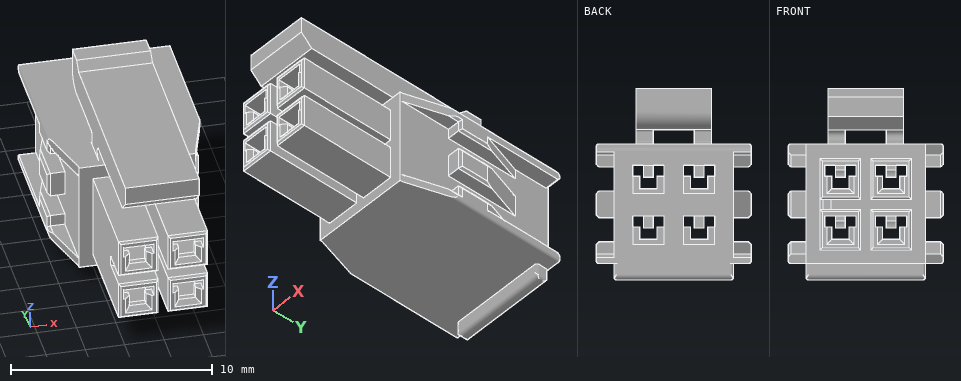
import cadquery as cq


length = 15.7
overall_width = 7.7
body_size = 5.93
body_front = 5.84
feature_middle = 2.94
rear_round = 0.4
edge_break = 0.14

half_width = overall_width / 2
body_side = body_size / 2
rail_depth = half_width - body_side
upper_rail_bottom = 5.39
lower_rail_top = 0.47
rear_chamfer = 0.15
taper_start = 8.84
taper_end = 5.98
lock_front = 9.06
ramp_crest = 10.86
ramp_foot = 13.5
lock_height = 1.33
lock_gap = 1.18
mid_lock_bottom = feature_middle - lock_height / 2
mid_lock_top = feature_middle + lock_height / 2
lower_lock_top = mid_lock_bottom - lock_gap
upper_lock_bottom = mid_lock_top + lock_gap

pitch = 2.51
tower_size = 2.01
tip_chamfer = 0.11
cavity_half_width = 0.77
cavity_roof = 0.68
cavity_floor = -0.72
mouth_top = 0.14
mouth_half_width = 0.68
throat_half_width = 0.42
throat_floor = -0.47
throat_start = 0.25
throat_end = 0.55

lance_width = 0.5
lance_front = 7.06
lance_length = 1.88
lance_underside = 0.44
lance_tip = 0.08
lance_setback = 0.13
lance_radius = 0.57

web_front = 1.71
web_width = 0.53

lever_width = 3.75
lever_front = 0.25
lever_rear = 12.21
lever_top = 2.32
lever_bottom = 0.68
lever_tail_bottom = 0.7
nose_slope_end = 0.94
nose_slope_top = 1.35
hook_height = 2.75
hook_front = 11.23
hook_slope_foot = 10.77
tail_radius = 0.97
neck_front = 6.61
neck_rear = 7.79
neck_radius = lever_bottom / 2
neck_corner = 0.15
neck_window = 2.01

tab_drop = 0.82
tab_thickness = 0.77
tab_round = 0.3
tab_side_round = 0.15


def block(x0, x1, y0, y1, z0, z1):
    """Box between two opposite corners."""
    return cq.Workplane("XY").box(x1 - x0, y1 - y0, z1 - z0, centered=False).translate((x0, y0, z0))


def chamfer_outer_edges(solid, z_low, z_high):
    """Chamfer the outer-face edges centred between two heights, except those at the front and rear ends."""
    margin = 0.02
    near_corner = (half_width - margin, body_front + margin, z_low - margin)
    far_corner = (half_width + margin, length - margin, z_high + margin)
    return solid.edges(cq.selectors.BoxSelector(near_corner, far_corner)).chamfer(edge_break)


def lock_bar(z_low, z_high):
    """Lock before its ramp is cut, running on to the wire end."""
    return block(body_side, half_width, lock_front, length, z_low, z_high)


def side_features():
    """Rails and locks of the +X side."""
    upper = block(body_side, half_width, body_front, length, upper_rail_bottom, body_size)
    upper = upper.union(lock_bar(upper_lock_bottom, body_size)).clean()
    upper = chamfer_outer_edges(upper, upper_lock_bottom, upper_rail_bottom)
    upper = upper.edges(">Z and >X").fillet(edge_break)

    lower = block(body_side, half_width, body_front, length, 0, lower_rail_top)
    lower = lower.union(lock_bar(0, lower_lock_top)).clean()
    lower = chamfer_outer_edges(lower, lower_rail_top, lower_lock_top)
    lower = lower.edges("<Z and >X").fillet(edge_break)

    middle = chamfer_outer_edges(lock_bar(mid_lock_bottom, mid_lock_top), mid_lock_bottom, mid_lock_top)
    side = upper.union(lower).union(middle)

    ramp_waste = (
        cq.Workplane("XY", origin=(0, 0, lower_rail_top))
        .polyline([
            (body_side, ramp_foot),
            (half_width, ramp_crest),
            (half_width, length),
            (body_side, length),
        ])
        .close()
        .extrude(upper_rail_bottom - lower_rail_top)
    )
    taper_waste = (
        cq.Workplane("XY")
        .polyline([
            (half_width, taper_start),
            (body_side, taper_end),
            (body_side, body_front),
            (half_width, body_front),
        ])
        .close()
        .extrude(body_size)
    )
    rear_waste = (
        cq.Workplane("YZ", origin=(body_side, 0, 0))
        .polyline([
            (length, lower_rail_top - rear_chamfer),
            (length - rear_chamfer, lower_rail_top),
            (length - rear_chamfer, upper_rail_bottom),
            (length, upper_rail_bottom + rear_chamfer),
        ])
        .close()
        .extrude(rail_depth)
    )
    return side.cut(ramp_waste).cut(taper_waste).cut(rear_waste)


def housing():
    """Square body with its two sides and the rounded top rear edge."""
    side = side_features()
    body = block(-body_side, body_side, body_front, length, 0, body_size)
    body = body.union(side).union(side.mirror("YZ"))
    envelope = block(-half_width, half_width, body_front, length, 0, body_size)
    return body.intersect(envelope.edges(">Y and >Z").fillet(rear_round))


def tower():
    """Contact tower around the Y axis."""
    half = tower_size / 2
    prism = block(-half, half, 0, body_front, -half, half)
    return prism.faces("<Y").edges().chamfer(tip_chamfer)


def cavity():
    """Through cavity around the Y axis: funnel mouth, narrow throat, wide chamber with a lance."""
    throat_height = mouth_top - throat_floor
    mouth_height = mouth_top - cavity_floor
    funnel = (
        cq.Workplane("XZ", origin=(0, 0, mouth_top))
        .center(0, -mouth_height / 2)
        .rect(2 * mouth_half_width, mouth_height)
        .workplane(offset=-throat_start)
        .center(0, (mouth_height - throat_height) / 2)
        .rect(2 * throat_half_width, throat_height)
        .loft(ruled=True)
    )
    throat = block(-throat_half_width, throat_half_width, throat_start, throat_end, throat_floor, mouth_top)
    slot = block(-cavity_half_width, cavity_half_width, 0, throat_end, mouth_top, cavity_roof)
    chamber = block(-cavity_half_width, cavity_half_width, throat_end, length, cavity_floor, cavity_roof)
    lance_rear = lance_front + lance_length
    barb_front = lance_front + lance_setback
    lance = (
        cq.Workplane("YZ")
        .moveTo(lance_front, cavity_roof)
        .lineTo(lance_front, lance_underside)
        .radiusArc((barb_front, lance_tip), lance_radius)
        .lineTo(lance_rear, lance_tip)
        .lineTo(lance_rear, cavity_roof)
        .close()
        .extrude(lance_width / 2, both=True)
    )
    return funnel.union(throat).union(slot).union(chamber).cut(lance)


def tower_web():
    """Web between the upper and lower -X towers, chamfered at its outer front corner."""
    outer = -(pitch + tower_size) / 2
    half_height = (pitch - tower_size) / 2
    web = block(
        outer, outer + web_width, web_front, body_front,
        feature_middle - half_height, feature_middle + half_height,
    )
    return web.edges("<X and <Y").chamfer(edge_break)


def lever():
    """Latch lever standing on two legs."""
    profile = (
        cq.Workplane("YZ", origin=(0, 0, body_size))
        .moveTo(lever_front, lever_top)
        .lineTo(lever_front, nose_slope_top)
        .lineTo(nose_slope_end, lever_bottom)
        .lineTo(neck_front - neck_radius, lever_bottom)
        .threePointArc((neck_front, neck_radius), (neck_front - neck_radius, 0))
        .lineTo(neck_rear + neck_corner, 0)
        .radiusArc((neck_rear, neck_corner), neck_corner)
        .lineTo(neck_rear, lever_tail_bottom - neck_corner)
        .radiusArc((neck_rear + neck_corner, lever_tail_bottom), neck_corner)
        .lineTo(lever_rear - tail_radius, lever_tail_bottom)
        .radiusArc((lever_rear, lever_tail_bottom + tail_radius), -tail_radius)
        .lineTo(lever_rear, hook_height)
        .lineTo(hook_front, hook_height)
        .lineTo(hook_slope_foot, lever_top)
        .close()
    )
    window = block(
        -neck_window / 2, neck_window / 2, lever_front, lever_rear,
        body_size, body_size + lever_bottom,
    )
    return profile.extrude(lever_width / 2, both=True).cut(window)


def tab():
    """Rounded tab hanging from the rear edge of the floor."""
    plate = block(-body_side, body_side, length - tab_thickness, length, -tab_drop, tab_drop)
    rounded_long_edges = plate.edges("<Z and |X").fillet(tab_round)
    rounded_short_edges = plate.edges("<Z and |Y").fillet(tab_side_round)
    rounded_corners = plate.edges("|Z").fillet(tab_side_round)
    rounded = rounded_long_edges.intersect(rounded_short_edges).intersect(rounded_corners)
    below_floor = block(-body_side, body_side, length - tab_thickness, length, -tab_drop, 0)
    return rounded.intersect(below_floor)


result = housing().union(lever()).union(tab()).union(tower_web())
tower_centres = [
    (column * pitch / 2, 0, feature_middle + row * pitch / 2)
    for column in (-1, 1)
    for row in (-1, 1)
]
for centre in tower_centres:
    result = result.union(tower().translate(centre))
for centre in tower_centres:
    result = result.cut(cavity().translate(centre))